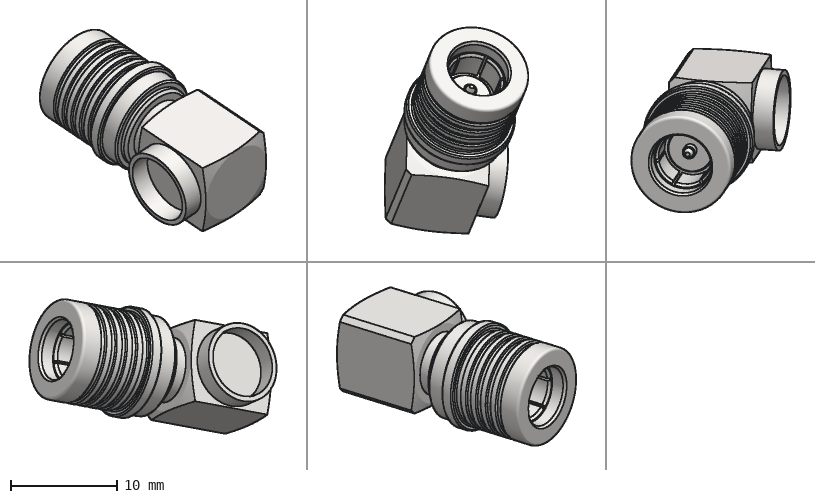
import cadquery as cq
import math

total_length = 21.55

nut_radius = 4.8
nut_end = 10.39
nut_front_fillet = 0.28
nut_rear_chamfer = 0.17
first_groove_depth = 0.2
groove_depth = 0.17
groove_slope = 0.1
front_land_end = 2.0
rib_count = 4
rib_width = 0.58
first_rib_start = 2.59
last_rib_start = 6.03
rib_pitch = (last_rib_start - first_rib_start) / (rib_count - 1)
flange_diameter = 10.5
flange_radius = flange_diameter / 2
flange_start = 7.3
flange_end = 8.53
flange_chamfer = 0.15

lip_radius = 4.15
lip_end = 11.03
lip_chamfer = 0.28
neck_radius = 3.1

block_start = 12.55
block_side = 8.0
block_half = block_side / 2
block_length = total_length - block_start
back_edge_chamfer = 0.54
end_cone_angle = 15.0
end_circle_radius = 3.92

sleeve_radius = 3.81
sleeve_bore_radius = 3.32
sleeve_length = 1.96

mouth_radius = 3.08
mouth_chamfer_length = 0.28
bore_radius = 2.89
collet_front = 1.53
collet_mouth_radius = 2.75
collet_bore_radius = 2.52
collet_chamfer_length = 0.28
bore_floor = 4.53
slot_count = 6
slot_width = 0.25
slot_start_angle = 7.5

insulator_radius = 2.22
insulator_chamfer = 0.1
insulator_front = 4.3
pin_radius = 0.6
pin_shoulder_radius = 0.47
pin_tip_radius = 0.22
pin_front = 3.02
pin_cone_length = 0.54


def x_cylinder(radius, start, end):
    """Cylinder on the X axis between two X positions."""
    return cq.Workplane("YZ", origin=(start, 0, 0)).circle(radius).extrude(end - start)


def revolve_about_x(points):
    """Solid of revolution from (x, radius) points."""
    return cq.Workplane("XY").polyline(points).close().revolve(360, (0, 0, 0), (1, 0, 0))


def groove(start, end, depth):
    """Ring that cuts a sloped-wall groove into the nut."""
    floor_radius = nut_radius - depth
    return revolve_about_x([
        (start, nut_radius),
        (start + groove_slope, floor_radius),
        (end - groove_slope, floor_radius),
        (end, nut_radius),
    ])


def make_nut():
    nut = x_cylinder(nut_radius, 0, nut_end)
    nut = nut.faces("<X").edges().fillet(nut_front_fillet)
    nut = nut.faces(">X").edges().chamfer(nut_rear_chamfer)
    nut = nut.cut(groove(front_land_end, first_rib_start, first_groove_depth))
    for i in range(rib_count):
        rib_start = first_rib_start + i * rib_pitch
        is_last_rib = i == rib_count - 1
        groove_end = flange_start if is_last_rib else rib_start + rib_pitch
        nut = nut.cut(groove(rib_start + rib_width, groove_end, groove_depth))
    flange = x_cylinder(flange_radius, flange_start, flange_end)
    flange = flange.faces("<X or >X").edges().chamfer(flange_chamfer)
    return nut.union(flange)


def make_rear():
    lip = x_cylinder(lip_radius, nut_end, lip_end).faces(">X").edges().chamfer(lip_chamfer)
    return lip.union(x_cylinder(neck_radius, nut_end, block_start))


def make_block():
    """Square block with cone-turned ends and two bevelled edges on the back."""
    block = cq.Workplane("YZ", origin=(block_start, 0, 0)).rect(block_side, block_side)
    block = block.extrude(block_length)
    block = block.faces(">Y").edges("|X").chamfer(back_edge_chamfer)
    envelope_radius = block_side
    cone_length = (envelope_radius - end_circle_radius) * math.tan(math.radians(end_cone_angle))
    envelope = revolve_about_x([
        (block_start, 0),
        (block_start, end_circle_radius),
        (block_start + cone_length, envelope_radius),
        (total_length - cone_length, envelope_radius),
        (total_length, end_circle_radius),
        (total_length, 0),
    ])
    return block.intersect(envelope)


def make_sleeve():
    """Open sleeve on the -Y face, its floor level with the block."""
    centre = (block_start + block_length / 2, -block_half, 0)
    plane = cq.Workplane("XZ", origin=centre)
    return plane.circle(sleeve_radius).circle(sleeve_bore_radius).extrude(sleeve_length)


def make_bore():
    """Stepped mating bore with the lengthwise slots between the collet fingers."""
    bore = revolve_about_x([
        (0, 0),
        (0, mouth_radius),
        (mouth_chamfer_length, bore_radius),
        (collet_front, bore_radius),
        (collet_front, collet_mouth_radius),
        (collet_front + collet_chamfer_length, collet_bore_radius),
        (bore_floor, collet_bore_radius),
        (bore_floor, 0),
    ])
    slot_length = bore_floor - collet_front
    for i in range(slot_count):
        slot = cq.Workplane("XY").box(slot_length, bore_radius, slot_width, centered=(False, False, True))
        slot = slot.translate((collet_front, 0, 0))
        angle = slot_start_angle + i * 360 / slot_count
        bore = bore.union(slot.rotate((0, 0, 0), (1, 0, 0), -angle))
    return bore


def make_insulator_and_pin():
    insulator = x_cylinder(insulator_radius, insulator_front, bore_floor)
    insulator = insulator.faces("<X").edges().chamfer(insulator_chamfer)
    pin = revolve_about_x([
        (bore_floor, 0),
        (bore_floor, pin_radius),
        (pin_front + pin_cone_length, pin_radius),
        (pin_front + pin_cone_length, pin_shoulder_radius),
        (pin_front, pin_tip_radius),
        (pin_front, 0),
    ])
    return insulator.union(pin)


result = make_nut().union(make_rear()).cut(make_bore()).union(make_insulator_and_pin())
result = result.union(make_block()).union(make_sleeve())